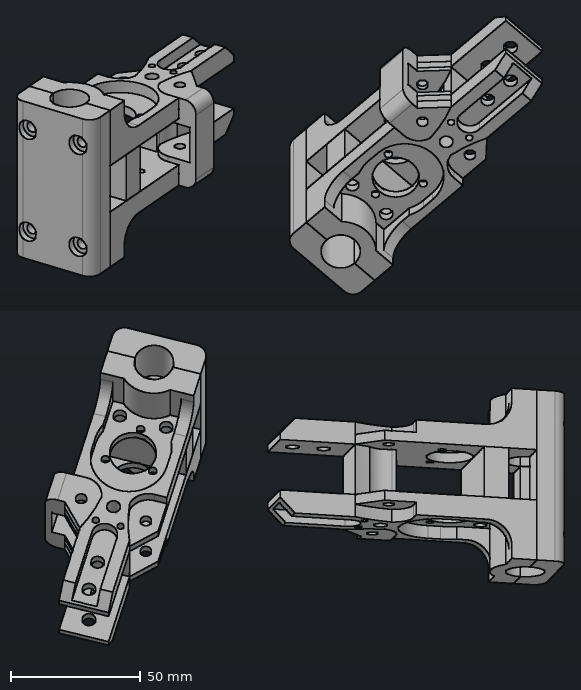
import cadquery as cq


total_length = 112.0
arm_width = 37.5
half_width = arm_width / 2
arm_gap = 20.0
inner_z = arm_gap / 2
arm_thickness = 9.0
outer_z = inner_z + arm_thickness
recess_depth = 5.0
recess_z = outer_z - recess_depth

neck_half_width = 10.0
neck_start_y = 82.1
neck_flare_radius = 56.0
tip_chamfer = 5.9

ear_shoulder_y = 72.6
ear_front_y = 60.0
ear_corner_x = 5.6
ear_corner_y = 66.5
ear_hole_x = 13.0
ear_hole_y = 69.5
ear_hole_diameter = 4.3
ear_arc_end_x = 13.7
ear_arc_radius = 8.2

slot_width = 10.0
slot_end_y = 77.5
neck_hole_diameter = 5.2
neck_hole_ys = (92.2, 104.6)
pilot_hole_diameter = 2.6
pilot_hole_x = slot_width / 2
pilot_hole_y = 77.2

motor_y = 42.0
motor_bore_diameter = 18.0
motor_screw_radius = 11.0
motor_screw_diameter = 3.0
motor_screw_count = 3
pocket_radius = 15.0
pocket_travel = 5.0
pocket_half_width = 13.7

clamp_height = 68.0
half_clamp = clamp_height / 2
clamp_y = 12.0
clamp_back_y = 22.0
clamp_fillet = 10.0
clamp_bore_diameter = 15.1
clamp_boss_radius = 13.7
cap_corner_radius = 4.9
cap_pocket_depth = 5.6
cap_screw_x = 11.6
cap_screw_z = 22.1
cap_screw_diameter = 4.3
cap_head_diameter = 8.0
cap_head_depth = 3.0

front_spacer_y = 23.2
front_spacer_depth = 9.7
front_hole_x = 9.3
front_hole_y = 27.5
front_hole_diameter = 5.0
rear_spacer_front_y = 64.6
rear_spacer_facet_x = 7.6
rear_spacer_facet_y = 75.8
rear_spacer_waist_x = 4.9
rear_spacer_foot_x = 5.5
rear_spacer_foot_y = 66.4

total_width = 45.5
clip_reach_x = total_width - half_width
clip_web = 2.8
clip_window_height = 15.2
clip_corner_radius = 5.0


def box(x0, x1, y0, y1, z0, z1):
    """Block between two opposite corners."""
    return cq.Workplane("XY").box(x1 - x0, y1 - y0, z1 - z0, centered=False).translate((x0, y0, z0))


def rods(points, diameter, z0, z1):
    """Upright cylinders at the given XY points."""
    return cq.Workplane("XY", origin=(0, 0, z0)).pushPoints(points).circle(diameter / 2).extrude(z1 - z0)


def ear_plate(z0, z1):
    """Plate with the outline of the +X ear's recess."""
    return (
        cq.Workplane("XY", origin=(0, 0, z0))
        .moveTo(neck_half_width, neck_start_y)
        .radiusArc((ear_corner_x, ear_corner_y), -neck_flare_radius)
        .radiusArc((ear_arc_end_x, ear_front_y), -ear_arc_radius)
        .lineTo(half_width, ear_front_y)
        .lineTo(half_width, ear_shoulder_y)
        .close()
        .extrude(z1 - z0)
    )


def arm_blank():
    """Plan outline of the arm cut to its side profile."""
    plan = (
        cq.Workplane("XY")
        .moveTo(half_width, clamp_y)
        .lineTo(half_width, ear_shoulder_y)
        .lineTo(neck_half_width, neck_start_y)
        .lineTo(neck_half_width, total_length)
        .lineTo(0, total_length)
        .lineTo(0, clamp_y)
        .close()
        .extrude(half_clamp)
    )
    plan = plan.union(plan.mirror("YZ"))
    fillet_end_y = clamp_back_y + clamp_fillet
    fillet_top_z = outer_z + clamp_fillet
    side = (
        cq.Workplane("YZ")
        .moveTo(clamp_y, inner_z)
        .lineTo(total_length, inner_z)
        .lineTo(total_length, outer_z - tip_chamfer)
        .lineTo(total_length - tip_chamfer, outer_z)
        .lineTo(fillet_end_y, outer_z)
        .radiusArc((clamp_back_y, fillet_top_z), clamp_fillet)
        .lineTo(clamp_back_y, half_clamp)
        .lineTo(clamp_y, half_clamp)
        .close()
        .extrude(half_width, both=True)
    )
    return plan.intersect(side)


def motor_pocket():
    """Oblong motor recess, open toward the clamp around the bore's boss."""
    travel_y = motor_y + pocket_travel
    pocket = rods([(0, motor_y), (0, travel_y)], 2 * pocket_radius, recess_z, half_clamp)
    pocket = pocket.union(box(-pocket_radius, pocket_radius, motor_y, travel_y, recess_z, half_clamp))
    return pocket.union(
        box(-pocket_half_width, pocket_half_width, clamp_back_y, motor_y, recess_z, half_clamp)
    )


def clamp_boss():
    """Round wall behind the clamp bore."""
    disc = rods([(0, clamp_y)], 2 * clamp_boss_radius, inner_z, half_clamp)
    return disc.intersect(box(-half_width, half_width, clamp_y, total_length, inner_z, half_clamp))


def neck_slot():
    """Round-ended slot, open at the tip of the neck."""
    radius = slot_width / 2
    slot = rods([(0, slot_end_y + radius)], slot_width, recess_z, outer_z)
    return slot.union(box(-radius, radius, slot_end_y + radius, total_length, recess_z, outer_z))


def arm_holes():
    """Bores and screw holes that go through the arm."""
    motor_screws = (
        cq.Workplane("XY", origin=(0, motor_y, 0))
        .polarArray(motor_screw_radius, -90, 360, motor_screw_count)
        .circle(motor_screw_diameter / 2)
        .extrude(outer_z)
    )
    drills = [
        ([(0, clamp_y)], clamp_bore_diameter),
        ([(0, motor_y)], motor_bore_diameter),
        ([(0, y) for y in (ear_hole_y, *neck_hole_ys)], neck_hole_diameter),
        ([(side * ear_hole_x, ear_hole_y) for side in (-1, 1)], ear_hole_diameter),
        ([(side * pilot_hole_x, pilot_hole_y) for side in (-1, 1)], pilot_hole_diameter),
        ([(side * front_hole_x, front_hole_y) for side in (-1, 1)], front_hole_diameter),
    ]
    holes = [rods(points, diameter, 0, half_clamp) for points, diameter in drills]
    return [motor_screws, *holes]


def make_upper_arm():
    """Arm on the +Z side, with its clamp half at the -Y end."""
    ear_recess = ear_plate(recess_z, outer_z)
    arm = (
        arm_blank()
        .cut(motor_pocket())
        .union(clamp_boss())
        .cut(neck_slot())
        .cut(ear_recess)
        .cut(ear_recess.mirror("YZ"))
    )
    for hole in arm_holes():
        arm = arm.cut(hole)
    return arm


def make_clamp_cap():
    """Cap that closes both clamp bores, with counterbored screw holes."""
    cap = box(-half_width, half_width, 0, clamp_y, -half_clamp, half_clamp)
    cap = cap.edges("|Z and <Y").fillet(cap_corner_radius)
    bore_radius = clamp_bore_diameter / 2
    for z0, z1 in ((inner_z, half_clamp), (-half_clamp, -inner_z)):
        cap = cap.cut(rods([(0, clamp_y)], clamp_bore_diameter, z0, z1))
    cap = cap.cut(box(-bore_radius, bore_radius, clamp_y - cap_pocket_depth, clamp_y, -inner_z, inner_z))
    screws = cq.Workplane("XZ").rect(2 * cap_screw_x, 2 * cap_screw_z, forConstruction=True).vertices()
    shanks = screws.circle(cap_screw_diameter / 2).extrude(-clamp_y)
    heads = screws.circle(cap_head_diameter / 2).extrude(-cap_head_depth)
    return cap.cut(shanks).cut(heads)


def make_front_spacer():
    """Full-width block next to the clamps."""
    block = box(
        -half_width, half_width, front_spacer_y, front_spacer_y + front_spacer_depth, -inner_z, inner_z
    )
    points = [(side * front_hole_x, front_hole_y) for side in (-1, 1)]
    block = block.cut(rods(points, front_hole_diameter, -inner_z, inner_z))
    screw_point = (0, motor_y - motor_screw_radius)
    return block.cut(rods([screw_point], motor_screw_diameter, -inner_z, inner_z))


def make_rear_spacer():
    """Waisted block under the neck, clear of the ear holes."""
    half = (
        cq.Workplane("XY", origin=(0, 0, -inner_z))
        .moveTo(0, neck_start_y)
        .lineTo(neck_half_width, neck_start_y)
        .lineTo(rear_spacer_facet_x, rear_spacer_facet_y)
        .threePointArc((rear_spacer_waist_x, ear_hole_y), (rear_spacer_foot_x, rear_spacer_foot_y))
        .lineTo(rear_spacer_foot_x, rear_spacer_front_y)
        .lineTo(0, rear_spacer_front_y)
        .close()
        .extrude(arm_gap)
    )
    half = half.cut(ear_plate(-inner_z, inner_z))
    block = half.union(half.mirror("YZ"))
    return block.cut(rods([(0, ear_hole_y)], neck_hole_diameter, -inner_z, inner_z))


def make_clip():
    """U-shaped clip with a web outside the ears and legs above and below them."""
    clip = box(half_width, clip_reach_x, ear_front_y, ear_shoulder_y, -outer_z, outer_z)
    clip = clip.edges("|Y and >X").fillet(clip_corner_radius)
    clip = clip.union(ear_plate(-outer_z, outer_z))
    window_z = clip_window_height / 2
    window_x = clip_reach_x - clip_web
    clip = clip.cut(box(0, window_x, 0, total_length, -window_z, window_z))
    for z0, z1 in ((inner_z, recess_z), (-recess_z, -inner_z)):
        clip = clip.cut(box(0, half_width, 0, total_length, z0, z1))
    return clip.cut(rods([(ear_hole_x, ear_hole_y)], ear_hole_diameter, -outer_z, outer_z))


upper_arm = make_upper_arm()
lower_arm = upper_arm.mirror("XY")
clamp_cap = make_clamp_cap()
front_spacer = make_front_spacer()
rear_spacer = make_rear_spacer()
clip = make_clip()

result = cq.Compound.makeCompound(
    [
        upper_arm.val(),
        lower_arm.val(),
        clamp_cap.val(),
        front_spacer.val(),
        rear_spacer.val(),
        clip.val(),
    ]
)